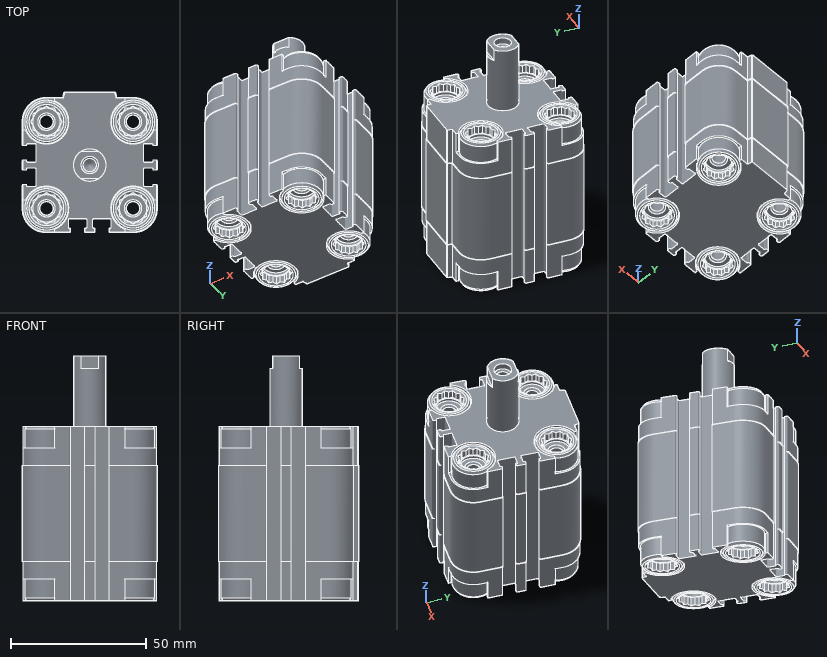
import cadquery as cq
import math

housing_height = 64.5
cap_height = 14.5
barrel_height = housing_height - 2 * cap_height
barrel_half_width = 25.0
corner_radius = 9.0
cap_inset = 0.25

pad_height = 2.0
pad_half_width = 10.0
pad_side_slope = 0.4
pad_edge_chamfer = 0.3

slot_floor = 19.9
slot_lip_start = 23.3
rib_half_width = 1.1
rib_nose_half_width = 1.9
slot_half_width = 7.85
slot_opening_half_width = 7.15
slot_corner_radius = 0.3
slot_mouth_radius = 0.5
slot_sides = (0, -90, 180)

screw_offset = barrel_half_width - corner_radius
screw_radius = 8.0
screw_height = 8.0
screw_rim_radius = 7.3
screw_chamfer_height = 1.1
corner_notch_start = 13.0
corner_gap = 0.25

socket_mouth_radius = 6.4
socket_across_flats = 10.0
socket_depth = 3.8
socket_cone_end_radius = 5.0
socket_cone_depth = 0.8
undercut_radius = 10.1 / 2
undercut_depth = 5.1
thread_core_radius = 4.92 / 2
thread_mouth_radius = 6.4 / 2
thread_chamfer_depth = thread_mouth_radius - thread_core_radius

rod_length = 26.0
rod_radius = 6.0
rod_across_flats = 10.0
rod_flat_height = 4.6
rod_recess_depth = 2.6
rod_thread_depth = 12.0
drill_point_angle = 118.0


def outline(inset, height):
    """Rounded square block with the pad on its +Y side."""
    half = barrel_half_width - inset
    block = cq.Workplane("XY").rect(2 * half, 2 * half).extrude(height)
    block = block.edges("|Z").fillet(corner_radius - inset)
    pad_half = pad_half_width - inset
    pad_top = half + pad_height
    pad_top_half = pad_half - pad_side_slope
    pad = (
        cq.Workplane("XY")
        .moveTo(-pad_half, 0)
        .lineTo(-pad_half, half)
        .lineTo(-pad_top_half, pad_top - pad_edge_chamfer)
        .lineTo(-pad_top_half + pad_edge_chamfer, pad_top)
        .lineTo(pad_top_half - pad_edge_chamfer, pad_top)
        .lineTo(pad_top_half, pad_top - pad_edge_chamfer)
        .lineTo(pad_half, half)
        .lineTo(pad_half, 0)
        .close()
        .extrude(height)
    )
    return block.union(pad)


def slot():
    """One undercut slot on the +X side, at +Y of the rib."""
    beyond = barrel_half_width + 1
    channel = (
        cq.Workplane("XY")
        .moveTo(slot_floor, rib_half_width)
        .lineTo(slot_lip_start, rib_half_width)
        .lineTo(slot_lip_start, rib_nose_half_width)
        .lineTo(beyond, rib_nose_half_width)
        .lineTo(beyond, slot_opening_half_width)
        .lineTo(slot_lip_start, slot_opening_half_width)
        .lineTo(slot_lip_start, slot_half_width)
        .lineTo(slot_floor, slot_half_width)
        .close()
        .extrude(housing_height)
    )
    return channel.edges("|Z and (not >X)").fillet(slot_corner_radius)


def slotted_block(inset, height):
    """Outline block with its three pairs of slots, rounded at the slot mouths."""
    block = outline(inset, height)
    channel = slot()
    for angle in slot_sides:
        for cutter in (channel, channel.mirror("XZ")):
            block = block.cut(cutter.rotate((0, 0, 0), (0, 0, 1), angle))
    face = barrel_half_width - inset

    def at_slot_mouth(edge):
        across, outward = sorted((abs(edge.Center().x), abs(edge.Center().y)))
        return across < slot_half_width and math.isclose(outward, face, abs_tol=1e-4)

    return block.edges("|Z").filter(at_slot_mouth).fillet(slot_mouth_radius)


def screw_cut():
    """Notch around one screw at the +X +Y corner of the top, with the screw left standing."""
    size = barrel_half_width
    notch = (
        cq.Workplane("XY")
        .rect(size, size, centered=False)
        .extrude(screw_height)
        .translate((corner_notch_start, corner_notch_start, 0))
    )
    ring = cq.Workplane("XY").circle(screw_radius + corner_gap).extrude(screw_height)
    notch = notch.union(ring.translate((screw_offset, screw_offset, 0)))
    head = (
        cq.Workplane("XZ")
        .lineTo(screw_radius, 0)
        .lineTo(screw_radius, screw_height - screw_chamfer_height)
        .lineTo(screw_rim_radius, screw_height)
        .lineTo(0, screw_height)
        .close()
        .revolve(360, (0, 0), (0, 1))
        .translate((screw_offset, screw_offset, 0))
    )
    return notch.cut(head).translate((0, 0, housing_height - screw_height))


def socket():
    """Twelve-point socket, undercut and thread mouth of one screw, measured down from Z = 0."""
    profile = (
        cq.Workplane("XZ")
        .lineTo(socket_mouth_radius, 0)
        .lineTo(socket_cone_end_radius, -socket_cone_depth)
        .lineTo(undercut_radius, -socket_depth)
        .lineTo(undercut_radius, -undercut_depth)
        .lineTo(thread_mouth_radius, -undercut_depth)
        .lineTo(thread_core_radius, -undercut_depth - thread_chamfer_depth)
        .lineTo(0, -undercut_depth - thread_chamfer_depth)
        .close()
        .revolve(360, (0, 0), (0, 1))
    )
    across_corners = socket_across_flats / math.cos(math.pi / 6)
    hexagon = cq.Workplane("XY").polygon(6, across_corners).extrude(-socket_depth)
    return profile.union(hexagon).union(hexagon.rotate((0, 0, 0), (0, 0, 1), 30))


def make_housing():
    """Barrel and end caps in one piece, with slots, corner screws and their sockets."""
    body = slotted_block(cap_inset, housing_height)
    body = body.union(slotted_block(0, barrel_height).translate((0, 0, cap_height)))
    drive = socket().translate((screw_offset, screw_offset, housing_height))
    core = (
        cq.Workplane("XY")
        .center(screw_offset, screw_offset)
        .circle(thread_core_radius)
        .extrude(housing_height)
    )
    top_cut = screw_cut().union(drive)
    bottom_cut = top_cut.mirror("XY").translate((0, 0, housing_height))
    for corner in range(4):
        for cutter in (top_cut, bottom_cut, core):
            body = body.cut(cutter.rotate((0, 0, 0), (0, 0, 1), 90 * corner))
    return body


def make_rod():
    """Piston rod standing on the housing, with two wrench flats and a threaded hole."""
    rod = cq.Workplane("XY").circle(rod_radius).extrude(rod_length)
    flat_start = rod_across_flats / 2
    for side in (1, -1):
        rod = rod.cut(
            cq.Workplane("XY")
            .box(2 * rod_radius, rod_radius, rod_flat_height)
            .translate((0, side * (flat_start + rod_radius / 2), rod_length - rod_flat_height / 2))
        )
    cone_end = rod_recess_depth + thread_chamfer_depth
    point = thread_core_radius / math.tan(math.radians(drill_point_angle / 2))
    hole = (
        cq.Workplane("XZ")
        .lineTo(thread_mouth_radius, 0)
        .lineTo(thread_mouth_radius, -rod_recess_depth)
        .lineTo(thread_core_radius, -cone_end)
        .lineTo(thread_core_radius, -rod_thread_depth)
        .lineTo(0, -rod_thread_depth - point)
        .close()
        .revolve(360, (0, 0), (0, 1))
        .translate((0, 0, rod_length))
    )
    return rod.cut(hole).translate((0, 0, housing_height))


housing = make_housing()
piston_rod = make_rod()
result = cq.Compound.makeCompound([housing.val(), piston_rod.val()])